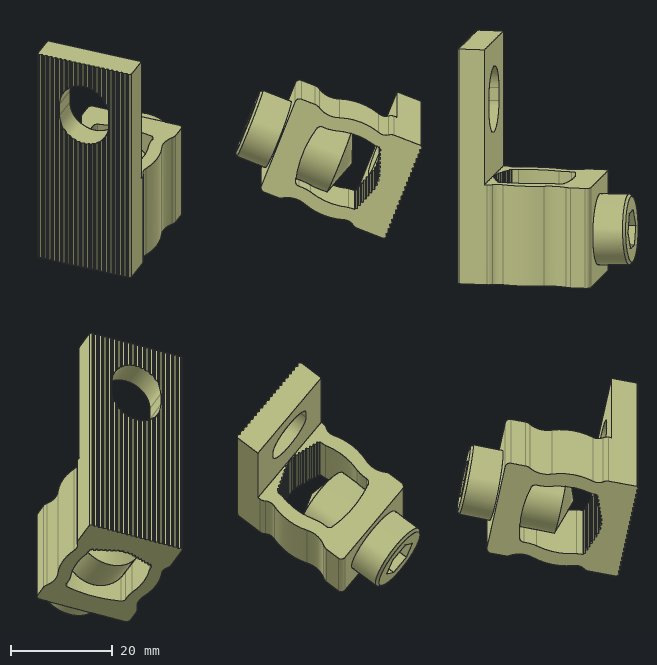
import cadquery as cq
import math


WIDTH = 20.0
HALF_WIDTH = WIDTH / 2
PLATE_HEIGHT = 47
PLATE_THICKNESS = 5.5
PLATE_EDGE_CHAMFER = 0.4
SLOT_WIDTH = 10.45
SLOT_LENGTH = 13.05
SLOT_CENTER_Z = 35.25

SERRATION_COUNT = 20
SERRATION_PITCH = WIDTH / SERRATION_COUNT
SERRATION_MOUTH = 0.8
SERRATION_FLOOR = 0.2
SERRATION_DEPTH = 0.26

GROOVE_OVERSHOOT = 0.1

BODY_HEIGHT = WIDTH
BODY_BACK = 26.6
BODY_CORNER_RADIUS = 0.95

OUTER_WALL_START = (HALF_WIDTH, 6.05)
OUTER_WALL_ARCS = [
    ((9.9, 6.6), (9.65, 7.1)),
    ((9.25, 8.35), (9.4, 9.1)),
    ((HALF_WIDTH, 13.15), (9.3, 17.3)),
    ((9.0, 19.18), (9.7, 21.7)),
    ((9.9, 22.2), (HALF_WIDTH, 22.75)),
]

FLOOR_Y = 5.8
FLOOR_FLAT_HALF = 1.0
FLOOR_ANGLE = 20
CAVITY_WALL_FOOT_X = 6.65
GAPS_PER_SLOPE = 7
TOOTH_PITCH = 0.85
TOOTH_GAP_MOUTH = 0.5
TOOTH_GAP_FLOOR = 0.2
TOOTH_GAP_DEPTH = 0.26

INNER_WALL_START = (6.7, 9.1)
INNER_WALL_ARCS = [
    ((7.25, 12.92), (6.6, 17.2)),
    ((6.35, 18.8), (6.35, 19.75)),
    ((6.2, 20.3), (5.8, 20.7)),
]
CAVITY_ROOF_Y = 21.45

SCREW_DIAMETER = 14.0
SCREW_TILT = 2
SCREW_END_Y = 33.1
SCREW_CONE_BASE_Y = 13.55
SCREW_CONE_ANGLE = 20
SCREW_END_CHAMFER = 0.5
SOCKET_SIDES = 6
SOCKET_ACROSS_FLATS = 7.0
SOCKET_DEPTH = 5.65


def groove(x, y, angle, mouth, floor, depth, height):
    """Vertical trapezoid prism: its mouth is centred at (x, y), it deepens along local -Y."""
    flank_spread = (mouth - floor) / depth * GROOVE_OVERSHOOT
    outer_half = (mouth + flank_spread) / 2
    outline = [
        (-outer_half, GROOVE_OVERSHOOT),
        (outer_half, GROOVE_OVERSHOOT),
        (floor / 2, -depth),
        (-floor / 2, -depth),
    ]
    prism = cq.Workplane("XY").polyline(outline).close().extrude(height)
    return prism.rotate((0, 0, 0), (0, 0, 1), angle).translate((x, y, 0))


def make_plate():
    plate = cq.Workplane("XY").box(WIDTH, PLATE_THICKNESS, PLATE_HEIGHT, centered=(True, False, False))
    plate = plate.faces("<Y").edges("|Z").chamfer(PLATE_EDGE_CHAMFER)
    for i in range(1, SERRATION_COUNT):
        x = -HALF_WIDTH + i * SERRATION_PITCH
        plate = plate.cut(
            groove(x, 0, 180, SERRATION_MOUTH, SERRATION_FLOOR, SERRATION_DEPTH, PLATE_HEIGHT)
        )
    slot = (
        cq.Workplane("XZ")
        .center(0, SLOT_CENTER_Z)
        .slot2D(SLOT_LENGTH, SLOT_WIDTH, 90)
        .extrude(-PLATE_THICKNESS)
    )
    return plate.cut(slot)


def make_body():
    """Right half of the wavy outline, extruded and mirrored."""
    outline = (
        cq.Workplane("XY")
        .moveTo(0, PLATE_THICKNESS)
        .lineTo(HALF_WIDTH, PLATE_THICKNESS)
        .lineTo(*OUTER_WALL_START)
    )
    for middle, end in OUTER_WALL_ARCS:
        outline = outline.threePointArc(middle, end)
    half = outline.lineTo(HALF_WIDTH, BODY_BACK).lineTo(0, BODY_BACK).close().extrude(BODY_HEIGHT)
    half = half.edges("|Z and >X and >Y").fillet(BODY_CORNER_RADIUS)
    return half.union(half.mirror("YZ"))


def mirrored(point):
    return (-point[0], point[1])


def make_cavity_opening():
    """Smooth opening through the body: V floor with a flat, wavy walls and a domed roof."""
    rise = (CAVITY_WALL_FOOT_X - FLOOR_FLAT_HALF) * math.tan(math.radians(FLOOR_ANGLE))
    wall_foot = (CAVITY_WALL_FOOT_X, FLOOR_Y + rise)
    outline = (
        cq.Workplane("XY")
        .moveTo(-FLOOR_FLAT_HALF, FLOOR_Y)
        .lineTo(FLOOR_FLAT_HALF, FLOOR_Y)
        .lineTo(*wall_foot)
        .lineTo(*INNER_WALL_START)
    )
    arc_starts = [INNER_WALL_START]
    for middle, end in INNER_WALL_ARCS:
        outline = outline.threePointArc(middle, end)
        arc_starts.append(end)
    roof_corner = arc_starts.pop()
    outline = outline.threePointArc((0, CAVITY_ROOF_Y), mirrored(roof_corner))
    for (middle, _), start in zip(reversed(INNER_WALL_ARCS), reversed(arc_starts)):
        outline = outline.threePointArc(mirrored(middle), mirrored(start))
    return outline.lineTo(*mirrored(wall_foot)).close().extrude(BODY_HEIGHT)


def make_cavity():
    """Cavity with the gaps between its floor teeth: one per side on the flat, the rest on the slopes."""
    slope = math.radians(FLOOR_ANGLE)
    gap = (TOOTH_GAP_MOUTH, TOOTH_GAP_FLOOR, TOOTH_GAP_DEPTH, BODY_HEIGHT)
    cavity = make_cavity_opening()
    for side in (-1, 1):
        cavity = cavity.union(groove(side * FLOOR_FLAT_HALF / 2, FLOOR_Y, 0, *gap))
        for i in range(GAPS_PER_SLOPE):
            along = (i + 0.5) * TOOTH_PITCH
            x = FLOOR_FLAT_HALF + along * math.cos(slope)
            y = FLOOR_Y + along * math.sin(slope)
            cavity = cavity.union(groove(side * x, y, side * FLOOR_ANGLE, *gap))
    return cavity


def make_screw():
    """Set screw with a conical tip and a hexagon socket, tilted where it leaves the body."""
    radius = SCREW_DIAMETER / 2
    cone_height = radius * math.tan(math.radians(SCREW_CONE_ANGLE))
    shank = (
        cq.Workplane("XY")
        .moveTo(0, SCREW_CONE_BASE_Y - cone_height)
        .lineTo(radius, SCREW_CONE_BASE_Y)
        .lineTo(radius, SCREW_END_Y - SCREW_END_CHAMFER)
        .lineTo(radius - SCREW_END_CHAMFER, SCREW_END_Y)
        .lineTo(0, SCREW_END_Y)
        .close()
        .revolve(360, (0, 0, 0), (0, 1, 0))
    )
    across_corners = SOCKET_ACROSS_FLATS / math.cos(math.pi / SOCKET_SIDES)
    socket = (
        cq.Workplane("XZ", origin=(0, SCREW_END_Y, 0))
        .polygon(SOCKET_SIDES, across_corners)
        .extrude(SOCKET_DEPTH)
    )
    screw = shank.cut(socket).translate((0, 0, BODY_HEIGHT / 2))
    pivot = (0, BODY_BACK, BODY_HEIGHT / 2)
    pivot_end = (1, BODY_BACK, BODY_HEIGHT / 2)
    return screw.rotate(pivot, pivot_end, SCREW_TILT)


clamp = make_plate().union(make_body()).cut(make_cavity())
result = clamp.union(make_screw())